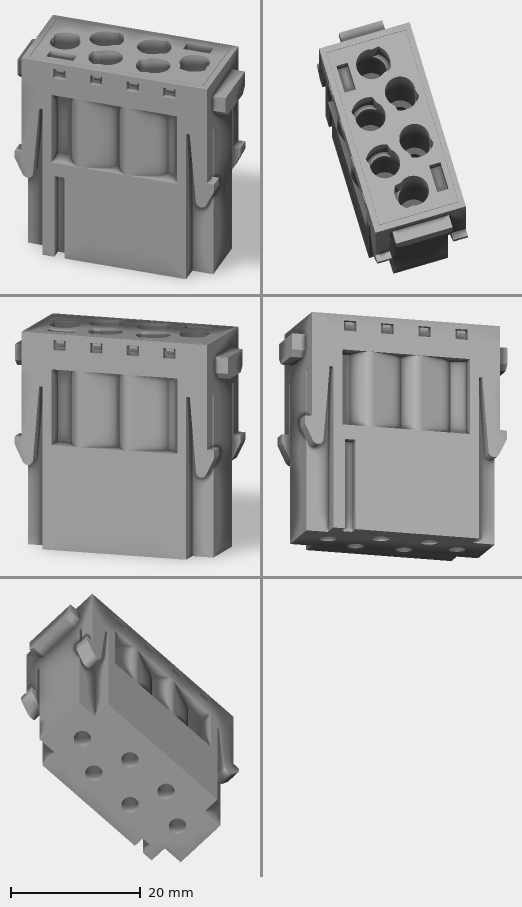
import cadquery as cq
import math

height = 34.1
body_x = 30.35
body_y = 14.6
half_x = body_x / 2
half_y = body_y / 2
overall_x = 34.4
lug_reach = (overall_x - body_x) / 2

wall_x = 0.95
wall_y = 0.9
seam_width = 0.07
seam_depth = 0.17

lug_bottom = 27.95
lug_top = 31.48
lug_chamfer = 0.95
left_lug_width = 7.0
right_lug_width = 9.08

notch_top = 25.65
notch_x = 11.73
notch_y = 4.4
clip_inner_y = 4.95
clip_root_x = 12.3
clip_barb_x = 16.3
clip_barb_top = 17.55
clip_barb_corner = 16.27
clip_barb_radius = 0.55
clip_tip_x = 14.2
clip_tip_z = 13.15
clip_tip_radius = 0.9

window_half_x = 10.3
window_bottom = 16.55
window_top = 28.5
window_floor_y = 4.13
groove_x = -8.98
groove_width = 1.7
groove_depth = 1.75
groove_top = 14.25
groove_corner_radius = 0.15

latch_count = 4
latch_pitch = 6.0
latch_width = 2.03
latch_bottom = 31.5
latch_top = 33.13
hook_width = 1.27
hook_bottom = 31.92
hook_flat_bottom = 32.6
hook_top = 33.02
hook_reach = 0.5

pocket_x = 9.55
pocket_y = 4.6
pocket_length = 4.4
pocket_width = 1.82
pocket_depth = 2.75

half_chambers = [(-5.1, 2.75, 19), (2.7, 2.75, 19), (10.5, 0.28, -80)]
chambers = half_chambers + [(-x, -y, angle + 180) for x, y, angle in half_chambers]
bore_diameter = 4.7
through_diameter = 2.7
bore_floor = window_bottom
key_radius = 3.0
key_width = 4.05
key_floor = window_top

housing_radius = 3.37
housing_key_radius = 5.65
housing_corner_radius = 1.38


def box(x_range, y_range, z_range):
    """Box between the given pairs of limits."""
    lows, highs = zip(*(sorted(limits) for limits in (x_range, y_range, z_range)))
    sizes = [high - low for low, high in zip(lows, highs)]
    return cq.Workplane("XY").box(*sizes, centered=False).translate(lows)


def turned(shape):
    """Copy turned half a revolution about the vertical axis."""
    return shape.rotate((0, 0, 0), (0, 0, 1), 180)


def placed(shape, chamber):
    """Shape drawn with its key along +X, moved to a chamber."""
    x, y, angle = chamber
    return shape.rotate((0, 0, 0), (0, 0, 1), angle).translate((x, y, 0))


def polar(radius, angle, center=(0, 0)):
    """Point at an angle in radians around a center."""
    return (center[0] + radius * math.cos(angle), center[1] + radius * math.sin(angle))


def lug(width):
    """Lug on the +X end, with its lower corners chamfered."""
    block = box((half_x, half_x + lug_reach), (-width / 2, width / 2), (lug_bottom, lug_top))
    return block.edges("|X and <Z").chamfer(lug_chamfer)


def clip():
    """Spring clip at the +X -Y corner: tapered arm, barb and rounded tip."""
    tip_center = (clip_tip_x, clip_tip_z + clip_tip_radius)

    def tangent_angle(point, side):
        """Direction from the tip center to the touching point of a line from a given point."""
        dx = point[0] - tip_center[0]
        dz = point[1] - tip_center[1]
        return math.atan2(dz, dx) + side * math.acos(clip_tip_radius / math.hypot(dx, dz))

    root = (clip_root_x, notch_top)
    barb_corner = (clip_barb_x, clip_barb_corner)
    arm_touch = polar(clip_tip_radius, tangent_angle(root, 1), tip_center)
    barb_touch = polar(clip_tip_radius, tangent_angle(barb_corner, -1), tip_center)
    outline = (
        cq.Workplane("XZ")
        .moveTo(*root)
        .lineTo(*arm_touch)
        .threePointArc((clip_tip_x, clip_tip_z), barb_touch)
        .lineTo(*barb_corner)
        .lineTo(clip_barb_x, clip_barb_top)
        .lineTo(half_x, clip_barb_top)
        .lineTo(half_x, notch_top)
        .close()
    )
    solid = outline.extrude(half_y - clip_inner_y).translate((0, -clip_inner_y, 0))
    reach = clip_barb_radius / 2
    barb_edge = cq.selectors.BoxSelector(
        (clip_barb_x - reach, -half_y, clip_barb_corner - reach),
        (clip_barb_x + reach, 0, clip_barb_corner + reach),
    )
    return solid.edges(barb_edge).fillet(clip_barb_radius)


def housing():
    """Outer wall of one chamber: a tube widened into a keyed sector along +X."""
    sharp_x = math.sqrt(housing_key_radius**2 - housing_radius**2)
    corner_offset = housing_key_radius - housing_corner_radius
    corner_y = housing_radius - housing_corner_radius
    corner_x = math.sqrt(corner_offset**2 - corner_y**2)
    corner_angle = math.atan2(corner_y, corner_x)
    corner_middle = (corner_angle + math.pi / 2) / 2
    return (
        cq.Workplane("XY", origin=(0, 0, window_bottom))
        .moveTo(0, -housing_radius)
        .lineTo(sharp_x, -housing_radius)
        .threePointArc((housing_key_radius, 0), polar(housing_key_radius, corner_angle))
        .threePointArc(
            polar(housing_corner_radius, corner_middle, (corner_x, corner_y)),
            (corner_x, housing_radius),
        )
        .lineTo(0, housing_radius)
        .threePointArc((-housing_radius, 0), (0, -housing_radius))
        .close()
        .extrude(window_top - window_bottom)
    )


def chamber_cut():
    """Stepped bore with a shallower key slot along +X."""
    through = cq.Workplane("XY").circle(through_diameter / 2).extrude(height)
    bore = cq.Workplane("XY", origin=(0, 0, bore_floor)).circle(bore_diameter / 2).extrude(height)
    key = cq.Workplane("XY", origin=(0, 0, key_floor)).circle(key_radius).extrude(height)
    key = key.intersect(box((0, key_radius), (-key_width / 2, key_width / 2), (0, 2 * height)))
    return through.union(bore).union(key)


def window_cut():
    """Window in the -Y face, leaving the chamber housings standing."""
    cut = box((-window_half_x, window_half_x), (-half_y, -window_floor_y), (window_bottom, window_top))
    for chamber in chambers:
        cut = cut.cut(placed(housing(), chamber))
    return cut


def latch_cut(x):
    """Latch opening in the -Y face around a hook with a sloped underside."""
    floor_y = -half_y + wall_y
    opening = box((x - latch_width / 2, x + latch_width / 2), (-half_y, floor_y), (latch_bottom, latch_top))
    hook = (
        cq.Workplane("YZ", origin=(x, 0, 0))
        .moveTo(floor_y, hook_bottom)
        .lineTo(floor_y - hook_reach, hook_flat_bottom)
        .lineTo(floor_y - hook_reach, hook_top)
        .lineTo(floor_y, hook_top)
        .close()
        .extrude(hook_width / 2, both=True)
    )
    return opening.cut(hook)


def seam_cut():
    """Fine groove in the top face around the insert."""
    seam_x = body_x - 2 * wall_x
    seam_y = body_y - 2 * wall_y
    return (
        cq.Workplane("XY", origin=(0, 0, height - seam_depth))
        .rect(seam_x, seam_y)
        .rect(seam_x - 2 * seam_width, seam_y - 2 * seam_width)
        .extrude(seam_depth)
    )


body = box((-half_x, half_x), (-half_y, half_y), (0, height))

body = body.union(lug(right_lug_width)).union(turned(lug(left_lug_width)))

notch = box((notch_x, half_x), (-half_y, -notch_y), (0, notch_top))
for feature in (notch, notch.mirror("YZ")):
    body = body.cut(feature).cut(turned(feature))
for feature in (clip(), clip().mirror("YZ")):
    body = body.union(feature).union(turned(feature))

side_cuts = [window_cut()]
side_cuts += [latch_cut((step - (latch_count - 1) / 2) * latch_pitch) for step in range(latch_count)]
side_cuts.append(
    box(
        (-pocket_x - pocket_length / 2, -pocket_x + pocket_length / 2),
        (-pocket_y - pocket_width / 2, -pocket_y + pocket_width / 2),
        (height - pocket_depth, height),
    )
)
for cut in side_cuts:
    body = body.cut(cut).cut(turned(cut))

groove_limits = (groove_x - groove_width / 2, groove_x + groove_width / 2)
groove = box(groove_limits, (-half_y, -half_y + groove_depth), (0, groove_top))
body = body.cut(groove.edges("|Z and >Y").fillet(groove_corner_radius))

for chamber in chambers:
    body = body.cut(placed(chamber_cut(), chamber))
result = body.cut(seam_cut())